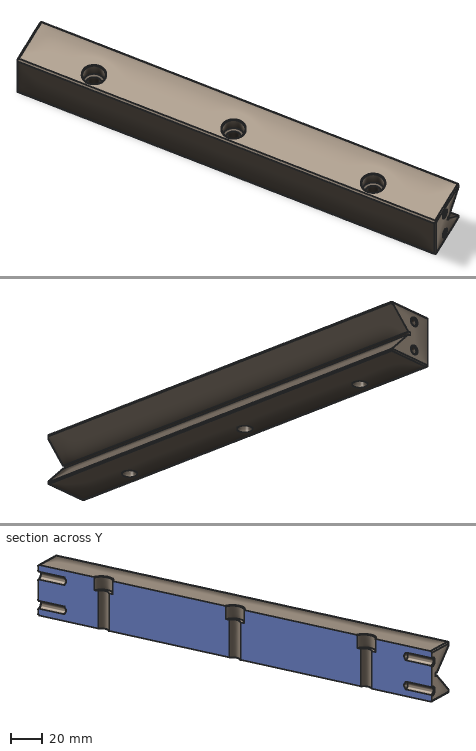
import cadquery as cq
import math

length = 300.0
width = 35.0
height = 35.0
end_chamfer = 1.0
back_chamfer = 1.4
lip_chamfer = 0.5

groove_half_angle = 45.0
lip_thickness = 1.25
relief_diameter = 2.5
relief_depth = 17.25

mount_hole_diameter = 10.0
counterbore_diameter = 15.0
counterbore_depth = 9.0
counterbore_chamfer = 0.5
mount_hole_count = 3
mount_hole_spacing = length / mount_hole_count
mount_hole_y = 11.0

end_hole_diameter = 5.0
end_hole_mouth_diameter = 6.4
end_hole_depth = 20.0
end_hole_y = 14.0
end_hole_offset_z = 10.0
drill_point_angle = 118.0


def make_box():
    """Plain block at the outer size of the bar."""
    return cq.Workplane("XY").box(length, width, height, centered=(False, False, True))


def make_bar():
    """Rectangular bar chamfered along its length and around both end faces."""
    bar = make_box().faces("<Y").edges("|X").chamfer(back_chamfer)
    bar = bar.faces(">Y").edges("|X").chamfer(lip_chamfer)
    for end_edges in ("|Y", "|Z"):
        bar = bar.intersect(make_box().edges(end_edges).chamfer(end_chamfer))
    return bar


def make_groove_cutter():
    """V prism open to +Y, with a round relief bore along its root."""
    half_opening = height / 2 - lip_thickness
    v_depth = half_opening / math.tan(math.radians(groove_half_angle))
    v_cutter = (
        cq.Workplane("YZ")
        .polyline([(width, half_opening), (width, -half_opening), (width - v_depth, 0)])
        .close()
        .extrude(length)
    )
    relief_y = width - relief_depth + relief_diameter / 2
    relief = cq.Workplane("YZ").center(relief_y, 0).circle(relief_diameter / 2).extrude(length)
    return v_cutter.union(relief)


def cut_mounting_holes(body):
    """Row of through holes counterbored from the top face, with chamfered mouths."""
    centers = [((i + 0.5) * mount_hole_spacing, mount_hole_y) for i in range(mount_hole_count)]
    drilled = (
        body.faces(">Z")
        .workplane(origin=(0, 0, height / 2))
        .pushPoints(centers)
        .cboreHole(mount_hole_diameter, counterbore_diameter, counterbore_depth)
    )
    return drilled.faces(">Z").edges("%CIRCLE").chamfer(counterbore_chamfer)


def make_end_hole_cutter():
    """Drill shape along +X with a 45 degree countersink, its mouth at the origin."""
    radius = end_hole_diameter / 2
    mouth_radius = end_hole_mouth_diameter / 2
    countersink_depth = mouth_radius - radius
    point_length = radius / math.tan(math.radians(drill_point_angle / 2))
    profile = [
        (0, 0),
        (0, mouth_radius),
        (countersink_depth, radius),
        (end_hole_depth, radius),
        (end_hole_depth + point_length, 0),
    ]
    return cq.Workplane("XY").polyline(profile).close().revolve(360, (0, 0, 0), (1, 0, 0))


def cut_end_holes(body):
    """Pair of blind holes, one above the other, in each end face."""
    near_cutter = make_end_hole_cutter()
    far_cutter = near_cutter.mirror("YZ").translate((length, 0, 0))
    for z in (-end_hole_offset_z, end_hole_offset_z):
        for cutter in (near_cutter, far_cutter):
            body = body.cut(cutter.translate((0, end_hole_y, z)))
    return body


body = make_bar().cut(make_groove_cutter())
body = cut_mounting_holes(body)
result = cut_end_holes(body)